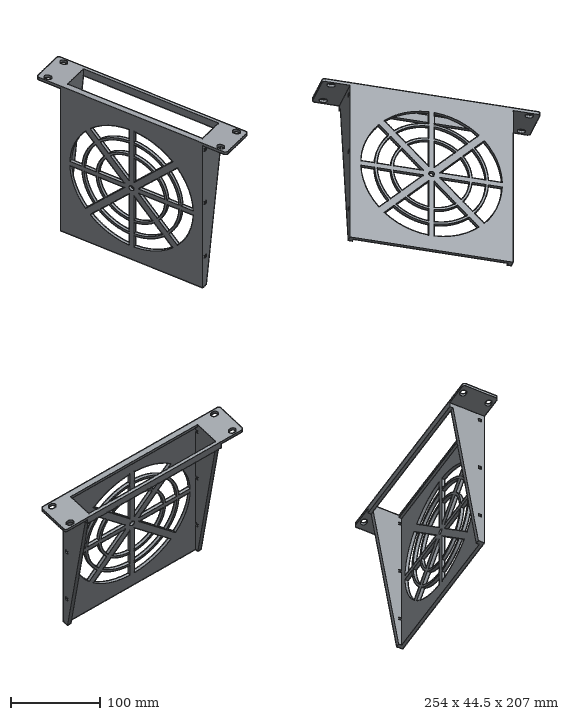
import cadquery as cq

flange_width = 254.0
depth = 44.5
height = 207.0

flange_thickness = 3.8
flange_corner_radius = 3.0
slot_length = 9.1
slot_width = 7.0
slot_spacing_x = 231.1
slot_spacing_y = 32.5

body_width = 190.5
front_thickness = 4.0
opening_width = 180.5
wall_foot_depth = 8.0
lip_thickness = 4.0
lip_height = 10.2
opening_front_y = 7.4

grille_radius = 82.5
ring_outer_radii = (66.5, 47.5)
ring_width = 3.0
cross_spoke_width = 6.4
diagonal_spoke_width = 9.0
hub_hole_diameter = 6.4

tie_hole_size = 3.5
tie_hole_depths_from_top = (12.7, 88.6, 165.4)

flange_bottom = height - flange_thickness
grille_center_z = flange_bottom / 2
lip_front_y = depth - lip_thickness


def box(width, length, tall, y_start, z_start):
    """Box centred in X, starting at the given Y and Z."""
    return (
        cq.Workplane("XY")
        .box(width, length, tall, centered=(True, False, False))
        .translate((0, y_start, z_start))
    )


def grille_disc(radius):
    """Disc as thick as the front plate, centred on the grille."""
    return (
        cq.Workplane("XZ", origin=(0, 0, grille_center_z))
        .circle(radius)
        .extrude(-front_thickness)
    )


def make_flange():
    """Rounded mounting flange with a slotted hole near each corner."""
    plate = box(flange_width, depth, flange_thickness, 0, flange_bottom)
    return (
        plate.edges("|Z").fillet(flange_corner_radius)
        .faces(">Z").workplane(centerOption="CenterOfBoundBox")
        .rarray(slot_spacing_x, slot_spacing_y, 2, 2)
        .slot2D(slot_length, slot_width)
        .cutThruAll()
    )


def make_side_walls():
    """Pair of tapered side walls with a short step at the rear lip."""
    profile = [
        (0, 0),
        (wall_foot_depth, 0),
        (lip_front_y, height - lip_height),
        (depth, height - lip_height),
        (depth, flange_bottom),
        (0, flange_bottom),
    ]
    block = (
        cq.Workplane("YZ")
        .polyline(profile).close()
        .extrude(body_width / 2, both=True)
    )
    return block.cut(box(opening_width, depth, height, 0, 0))


def make_grille_cut():
    """Open areas of the grille: the disc less its rings, spokes and hub, plus the hub hole."""
    cut = grille_disc(grille_radius)
    for outer_radius in ring_outer_radii:
        ring = grille_disc(outer_radius).cut(grille_disc(outer_radius - ring_width))
        cut = cut.cut(ring)
    spoke_widths = {
        0: cross_spoke_width,
        45: diagonal_spoke_width,
        90: cross_spoke_width,
        135: diagonal_spoke_width,
    }
    for angle, width in spoke_widths.items():
        spoke = (
            cq.Workplane("XZ", origin=(0, 0, grille_center_z))
            .transformed(rotate=(0, 0, angle))
            .rect(2 * grille_radius + width, width)
            .extrude(-front_thickness)
        )
        cut = cut.cut(spoke)
    return cut.union(grille_disc(hub_hole_diameter / 2))


def make_tie_holes():
    """Square holes running through both side walls."""
    holes = cq.Workplane("XY")
    for hole_depth in tie_hole_depths_from_top:
        bottom = height - hole_depth - tie_hole_size / 2
        holes = holes.add(box(body_width, tie_hole_size, tie_hole_size, front_thickness, bottom))
    return holes.combine()


front_plate = box(body_width, front_thickness, flange_bottom, 0, 0)
rear_lip = box(body_width, lip_thickness, lip_height - flange_thickness, lip_front_y, height - lip_height)
opening = box(opening_width, lip_front_y - opening_front_y, flange_thickness, opening_front_y, flange_bottom)

result = (
    make_flange()
    .cut(opening)
    .union(front_plate)
    .union(make_side_walls())
    .union(rear_lip)
    .cut(make_grille_cut())
    .cut(make_tie_holes())
    .clean()
)